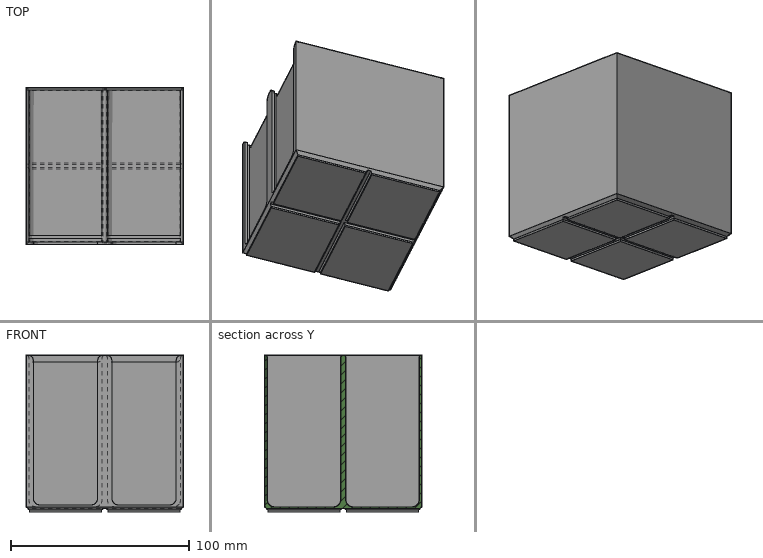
import cadquery as cq

SIZE = 88.0
WALL = 1.5
DIVIDER = 3.0
FLOOR_TOP = 3.0
FLOOR_FILLET = 4.0

FRAME_BORDER = 4.0
OPENING_BOTTOM_FILLET = 4.0
OPENING_TOP_ROUND = 3.0

SLOT = 2.0
PANEL_TOP = SIZE - FRAME_BORDER
PANEL_FILLET = FRAME_BORDER - WALL

FOOT_COUNT = 2
FOOT_TOP = 2.9
FOOT_LAND = 1.1
FOOT_INSET = FOOT_TOP - FOOT_LAND
GROOVE_TOP = 2.0

CENTER = SIZE / 2
COMPARTMENT = CENTER - WALL - DIVIDER / 2
COMPARTMENT_CENTERS = (WALL + COMPARTMENT / 2, SIZE - WALL - COMPARTMENT / 2)
OPENING = COMPARTMENT - 2 * PANEL_FILLET
PANEL_FRONT = WALL + SLOT
FOOT_PITCH = SIZE / FOOT_COUNT


def box(x, y, z, dx, dy, dz):
    """Box from its lowest corner and its three side lengths."""
    return cq.Workplane("XY").box(dx, dy, dz, centered=False).translate((x, y, z))


def along_y(profile, y_start, y_end):
    """Prism from a closed profile in X and Z, running between two Y positions."""
    return profile.extrude(-(y_end - y_start)).translate((0, y_start, 0))


def foot_grid():
    """Square feet with a vertical land that flares out to the full pitch."""
    feet = cq.Workplane("XY")
    side = FOOT_PITCH - 2 * FOOT_INSET
    for column in range(FOOT_COUNT):
        for row in range(FOOT_COUNT):
            middle = ((column + 0.5) * FOOT_PITCH, (row + 0.5) * FOOT_PITCH)
            feet = feet.add(cq.Workplane("XY").center(*middle).rect(side, side).extrude(FOOT_LAND))
            flare = (
                cq.Workplane("XY", origin=(*middle, FOOT_LAND))
                .rect(side, side)
                .workplane(offset=FOOT_INSET)
                .rect(FOOT_PITCH, FOOT_PITCH)
                .loft(ruled=True)
            )
            feet = feet.add(flare)
    return feet.combine()


def base():
    """Feet, joined above the grooves that separate them."""
    cap_inset = FOOT_TOP - GROOVE_TOP
    cap = (
        cq.Workplane("XY", origin=(CENTER, CENTER, GROOVE_TOP))
        .rect(SIZE - 2 * cap_inset, SIZE - 2 * cap_inset)
        .workplane(offset=cap_inset)
        .rect(SIZE, SIZE)
        .loft(ruled=True)
    )
    return foot_grid().union(cap)


def compartment(middle):
    """Storage space with rounded floor edges, open at the top."""
    space = box(middle - COMPARTMENT / 2, WALL, FLOOR_TOP, COMPARTMENT, SIZE - 2 * WALL, SIZE)
    return space.edges("|Y and <Z").fillet(FLOOR_FILLET)


def opening(middle):
    """Front opening with round lower corners and a mouth flared by convex rounds."""
    half = OPENING / 2
    r = OPENING_TOP_ROUND
    shoulder = SIZE - r
    profile = (
        cq.Workplane("XZ")
        .moveTo(middle - half, FRAME_BORDER)
        .lineTo(middle + half, FRAME_BORDER)
        .lineTo(middle + half, shoulder)
        .radiusArc((middle + half + r, SIZE), r)
        .lineTo(middle - half - r, SIZE)
        .radiusArc((middle - half, shoulder), r)
        .close()
    )
    return along_y(profile, 0, WALL).edges("|Y and <Z").fillet(OPENING_BOTTOM_FILLET)


def wall_top_relief(middle):
    """Material above the rounded wall tops on both sides of a compartment."""
    half = COMPARTMENT / 2
    r = WALL
    shoulder = SIZE - r
    profile = (
        cq.Workplane("XZ")
        .moveTo(middle - half, shoulder)
        .lineTo(middle + half, shoulder)
        .radiusArc((middle + half + r, SIZE), r)
        .lineTo(middle - half - r, SIZE)
        .radiusArc((middle - half, shoulder), r)
        .close()
    )
    return along_y(profile, WALL, SIZE - WALL)


def panel(middle):
    """Inner front panel whose top edge sweeps up to the walls at both ends."""
    half = COMPARTMENT / 2
    r = PANEL_FILLET
    width = COMPARTMENT + WALL
    height = PANEL_TOP + r - FOOT_TOP
    body = box(middle - width / 2, PANEL_FRONT, FOOT_TOP, width, WALL, height)
    profile = (
        cq.Workplane("XZ")
        .moveTo(middle - half + r, PANEL_TOP)
        .lineTo(middle + half - r, PANEL_TOP)
        .radiusArc((middle + half, PANEL_TOP + r), -r)
        .lineTo(middle - half, PANEL_TOP + r)
        .radiusArc((middle - half + r, PANEL_TOP), -r)
        .close()
    )
    return body.cut(along_y(profile, PANEL_FRONT, PANEL_FRONT + WALL))


result = base().union(box(0, 0, FOOT_TOP, SIZE, SIZE, SIZE - FOOT_TOP))
for middle_x in COMPARTMENT_CENTERS:
    result = result.cut(compartment(middle_x))
    result = result.cut(opening(middle_x))
    result = result.cut(wall_top_relief(middle_x))
    result = result.union(panel(middle_x))